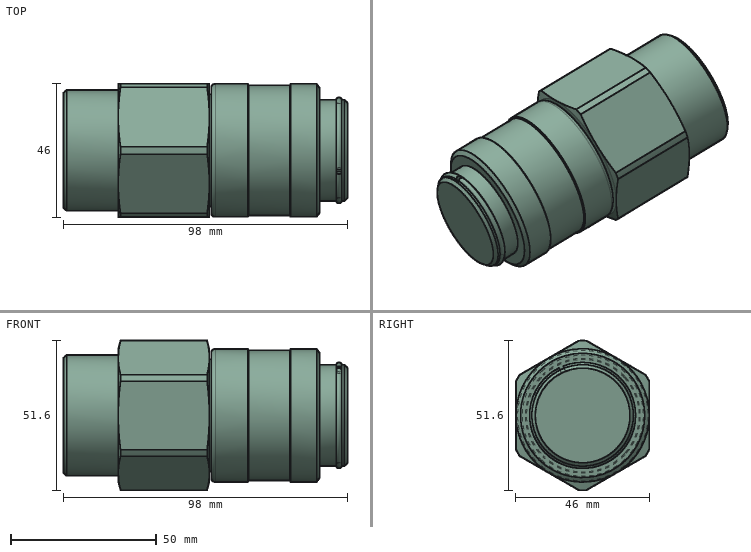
import cadquery as cq
import math

LENGTH = 98.0
HEX_START = 18.9
HEX_END = 50.3
SLEEVE_START = 50.9
BAND_START = 63.5
BAND_END = 78.3
SLEEVE_END = 88.4

INLET_DIA = 41.7
HEX_SIDES = 6
HEX_FLATS = 46.0
HEX_CORNERS = 51.6
WAIST_DIA = 38.8
SLEEVE_DIA = 46.0
BAND_DIA = 45.0
NOSE_DIA = 35.0

INLET_CHAMFER = 1.1
HEX_BEVEL = 0.8
SLEEVE_FILLET = 1.5
BAND_BEVEL = 0.3
SLEEVE_BEVEL_LENGTH = 1.2
SLEEVE_BEVEL_DEPTH = 1.6
NOSE_CHAMFER = 1.2

RING_DIA = 36.6
WIRE_DIA = 2.1
RING_X = 95.0
RING_GAP = 1.6
RING_GAP_ANGLE = 24.0


def revolve_about_x(profile):
    """Turn a closed XY profile, drawn at positive Y, about the X axis."""
    return profile.close().revolve(360, (0, 0, 0), (1, 0, 0))


def disc(start, end, diameter):
    """Cylinder on the X axis between two stations."""
    return cq.Workplane("YZ", origin=(start, 0, 0)).circle(diameter / 2).extrude(end - start)


def make_inlet():
    return disc(0, HEX_START, INLET_DIA).faces("<X").chamfer(INLET_CHAMFER)


def make_hexagon():
    """Hexagon with flats facing +Y and -Y, trimmed by a cylinder with conical ends."""
    full_corner_dia = HEX_FLATS / math.cos(math.pi / HEX_SIDES)
    prism = (
        cq.Workplane("YZ", origin=(HEX_START, 0, 0))
        .transformed(rotate=(0, 0, 90))
        .polygon(HEX_SIDES, full_corner_dia)
        .extrude(HEX_END - HEX_START)
    )
    envelope = revolve_about_x(
        cq.Workplane("XY")
        .moveTo(HEX_START, 0)
        .lineTo(HEX_START, HEX_FLATS / 2)
        .lineTo(HEX_START + HEX_BEVEL, HEX_CORNERS / 2)
        .lineTo(HEX_END - HEX_BEVEL, HEX_CORNERS / 2)
        .lineTo(HEX_END, HEX_FLATS / 2)
        .lineTo(HEX_END, 0)
    )
    return prism.intersect(envelope)


def make_sleeve():
    """Grip sleeve with a rounded rear edge, a shallow band and a bevelled front edge."""
    outer = SLEEVE_DIA / 2
    band = BAND_DIA / 2
    arc_inset = SLEEVE_FILLET * (1 - math.sqrt(0.5))
    return revolve_about_x(
        cq.Workplane("XY")
        .moveTo(SLEEVE_START, 0)
        .lineTo(SLEEVE_START, outer - SLEEVE_FILLET)
        .threePointArc(
            (SLEEVE_START + arc_inset, outer - arc_inset),
            (SLEEVE_START + SLEEVE_FILLET, outer),
        )
        .lineTo(BAND_START, outer)
        .lineTo(BAND_START + BAND_BEVEL, band)
        .lineTo(BAND_END - BAND_BEVEL, band)
        .lineTo(BAND_END, outer)
        .lineTo(SLEEVE_END - SLEEVE_BEVEL_LENGTH, outer)
        .lineTo(SLEEVE_END, outer - SLEEVE_BEVEL_DEPTH)
        .lineTo(SLEEVE_END, 0)
    )


def make_ring_groove():
    start = RING_X - WIRE_DIA / 2
    end = RING_X + WIRE_DIA / 2
    floor_dia = RING_DIA - 2 * WIRE_DIA
    return disc(start, end, RING_DIA).cut(disc(start, end, floor_dia))


def make_coupling():
    waist = disc(HEX_END, SLEEVE_START, WAIST_DIA)
    nose = disc(SLEEVE_END, LENGTH, NOSE_DIA).faces(">X").chamfer(NOSE_CHAMFER)
    return (
        make_inlet()
        .union(make_hexagon())
        .union(waist)
        .union(make_sleeve())
        .union(nose)
        .cut(make_ring_groove())
    )


def make_snap_ring():
    wire_centre = (RING_DIA - WIRE_DIA) / 2
    ring = (
        cq.Workplane("XY")
        .center(RING_X, wire_centre)
        .circle(WIRE_DIA / 2)
        .revolve(360, (0, -wire_centre, 0), (1, -wire_centre, 0))
    )
    gap = (
        cq.Workplane("XY")
        .box(2 * WIRE_DIA, RING_GAP, 2 * WIRE_DIA)
        .translate((RING_X, 0, wire_centre))
        .rotate((0, 0, 0), (1, 0, 0), RING_GAP_ANGLE)
    )
    return ring.cut(gap)


coupling = make_coupling()
snap_ring = make_snap_ring()

result = cq.Compound.makeCompound([coupling.val(), snap_ring.val()])